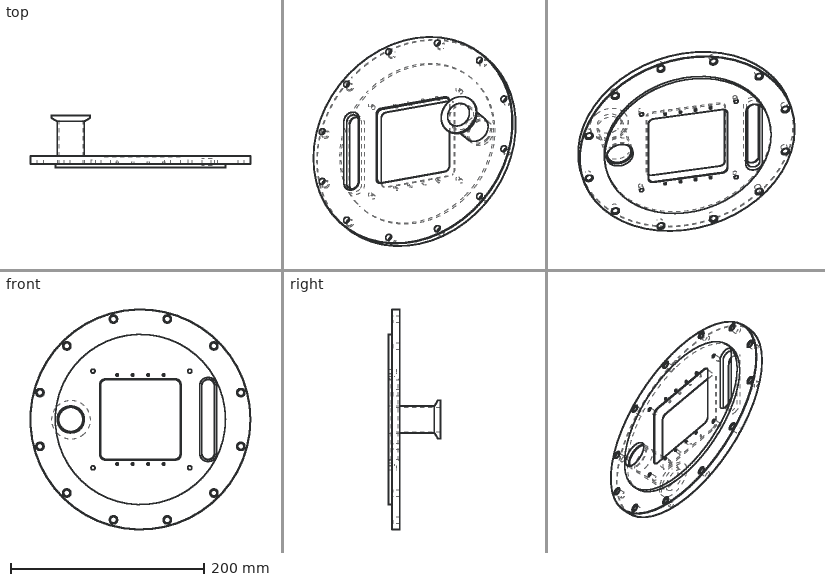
import cadquery as cq
import math


plate_diameter = 228
plate_thickness = 8.5
plate_edge_chamfer = 0.5
pad_diameter = 176
pad_height = 3.5
plate_back = plate_thickness
pad_face = -pad_height
total_thickness = plate_thickness + pad_height

bolt_count = 12
bolt_circle_diameter = 215
bolt_hole_diameter = 6.4
bolt_hole_chamfer = 1

window_size = 82
window_corner_radius = 5
window_lead_in_size = 83
window_lead_in_depth = 3
window_front_chamfer = 0.5
window_back_chamfer = 1

slot_x = 70
slot_width = 13
slot_length = 82.5
slot_chamfer = 2.25

corner_hole_diameter = 4.2
corner_hole_x = 1
corner_hole_spacing = 100
corner_hole_depth = 8
row_hole_diameter = 2.5
row_hole_count = 4
row_hole_pitch = 16
row_spacing = 92
row_hole_depth = 6

port_x = -72
tube_outer_diameter = 28
tube_inner_diameter = 25
tube_recess = 4
port_length = 42
flange_diameter = 40
flange_rim_width = 2
flange_rim_fillet = 1.5
flange_cone_angle = math.radians(30)


def face_plane(y):
    """Sketch plane parallel to XZ at the given Y; a negative extrusion runs toward +Y."""
    return cq.Workplane("XZ", origin=(0, y, 0))


def make_disc():
    plate = face_plane(0).circle(plate_diameter / 2).extrude(-plate_thickness)
    plate = plate.edges().chamfer(plate_edge_chamfer)
    pad = face_plane(pad_face).circle(pad_diameter / 2).extrude(-pad_height)
    return plate.union(pad)


def make_plate():
    plate = make_disc()
    plate = cut_beveled_opening(plate, make_window(), window_front_chamfer, window_back_chamfer)
    plate = cut_beveled_opening(plate, make_slot(), slot_chamfer, slot_chamfer)
    plate = cut_bolt_holes(plate)
    plate = plate.cut(make_corner_holes()).cut(make_row_holes())
    port_bore = face_plane(pad_face).center(port_x, 0).circle(tube_outer_diameter / 2)
    return plate.cut(port_bore.extrude(-total_thickness))


def cut_bolt_holes(plate):
    """Through holes around the rim, straddling the X and Z axes, countersunk on the pad side."""
    first_angle = 180 / bolt_count
    mouth_diameter = bolt_hole_diameter + 2 * bolt_hole_chamfer
    return (
        face_plane(0)
        .add(plate)
        .polarArray(bolt_circle_diameter / 2, first_angle, 360, bolt_count)
        .cskHole(bolt_hole_diameter, mouth_diameter, 90)
    )


def cut_beveled_opening(plate, opening, front_bevel, back_bevel):
    """Cut a through opening and bevel its rim on both faces of the plate."""
    plate = plate.cut(opening)
    bounds = opening.val().BoundingBox()
    margin = 0.1
    for face_y, bevel in ((pad_face, front_bevel), (plate_back, back_bevel)):
        rim = cq.selectors.BoxSelector(
            (bounds.xmin - margin, face_y - margin, bounds.zmin - margin),
            (bounds.xmax + margin, face_y + margin, bounds.zmax + margin),
            boundingbox=True,
        )
        plate = plate.edges(rim).chamfer(bevel)
    return plate


def rounded_square(size, corner_radius):
    return cq.Sketch().rect(size, size).vertices().fillet(corner_radius)


def make_window():
    """Straight square opening with a slightly tapered lead-in at the pad face."""
    lead_in_step = (window_lead_in_size - window_size) / 2
    lead_in_taper = math.degrees(math.atan(lead_in_step / window_lead_in_depth))
    opening_outline = rounded_square(window_size, window_corner_radius)
    lead_in_outline = rounded_square(window_lead_in_size, window_corner_radius + lead_in_step)
    opening = face_plane(pad_face).placeSketch(opening_outline).extrude(-total_thickness)
    lead_in = face_plane(pad_face).placeSketch(lead_in_outline)
    return opening.union(lead_in.extrude(-window_lead_in_depth, taper=lead_in_taper))


def make_slot():
    slot = face_plane(pad_face).center(slot_x, 0).slot2D(slot_length, slot_width, 90)
    return slot.extrude(-total_thickness)


def make_corner_holes():
    centre = face_plane(pad_face).center(corner_hole_x, 0)
    points = centre.rect(corner_hole_spacing, corner_hole_spacing, forConstruction=True).vertices()
    return points.circle(corner_hole_diameter / 2).extrude(-corner_hole_depth)


def make_row_holes():
    """One row of holes above the window and one below."""
    points = face_plane(pad_face).rarray(row_hole_pitch, row_spacing, row_hole_count, 2)
    return points.circle(row_hole_diameter / 2).extrude(-row_hole_depth)


def make_port():
    """Tube seated in the plate bore, with a conical-backed flange on its far end."""
    outer_radius = tube_outer_diameter / 2
    inner_radius = tube_inner_diameter / 2
    flange_radius = flange_diameter / 2
    tube_start = pad_face + tube_recess
    port_end = plate_back + port_length

    cone_slope = math.tan(flange_cone_angle)
    rim_corner = port_end - flange_rim_width - flange_rim_fillet * cone_slope
    cone_start = rim_corner - (flange_radius - outer_radius) * cone_slope
    profile = [
        (inner_radius, tube_start),
        (outer_radius, tube_start),
        (outer_radius, cone_start),
        (flange_radius, rim_corner),
        (flange_radius, port_end),
        (inner_radius, port_end),
    ]
    port = cq.Workplane("XY").polyline(profile).close().revolve(360, (0, 0), (0, 1))
    rim_edge = cq.selectors.BoxSelector(
        (-flange_diameter, rim_corner - flange_rim_fillet / 2, -flange_diameter),
        (flange_diameter, rim_corner + flange_rim_fillet / 2, flange_diameter),
        boundingbox=True,
    )
    return port.edges(rim_edge).fillet(flange_rim_fillet).translate((port_x, 0, 0))


plate = make_plate()
port = make_port()
result = cq.Compound.makeCompound([plate.val(), port.val()])